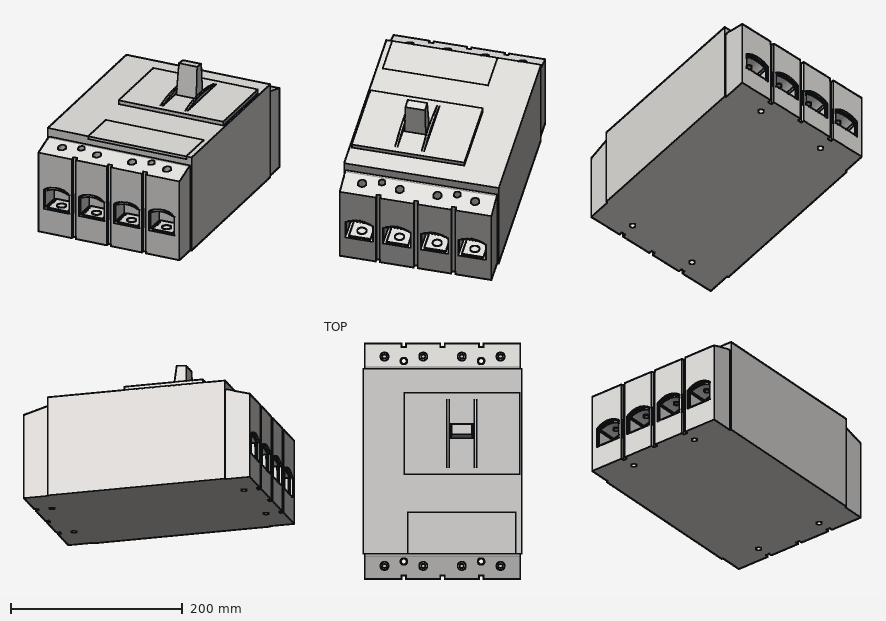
import cadquery as cq

total_length = 274.5
total_height = 164.5
housing_width = 185.0
housing_length = 215.5
housing_top = 120.5

end_width = 181.5
end_lip_y = 110.0
end_lip_top = 109.8
end_outer_top = 102.0
end_face_y = total_length / 2
block_face_y = housing_length / 2

pole_count = 4
pole_pitch = 45.0
groove_width = 5.0
groove_depth = 4.0
pole_xs = [(i - (pole_count - 1) / 2) * pole_pitch for i in range(pole_count)]
groove_xs = [(i - (pole_count - 2) / 2) * pole_pitch for i in range(pole_count - 1)]

mount_x = pole_pitch
mount_y = 116.5
mount_diameter = 6.5
mount_counterbore_diameter = 8.0
mount_counterbore_floor = 93.3

screw_y = 121.8
well_diameter = 9.5
well_floor = 82.3
socket_across_corners = 5.5
socket_depth = 2.7

pocket_width = 33.0
pocket_floor = 30.7
pocket_spring = 54.5
pocket_apex = 61.0
pocket_depth = end_face_y - block_face_y
lip_thickness = 2.7
relief_width = 39.5
relief_length = 2.5

contact_width = 25.8
contact_start_y = end_face_y - lip_thickness
contact_length = 2 * (contact_start_y - screw_y)
bar_thickness = 1.5
bar_recess_diameter = 11.0
bar_recess_depth = 0.5
bar_recess_y = 123.0
pad_apex = 59.5
pad_thickness = 2.7
pad_drop = 3.0
screw_diameter = 10.0
tip_diameter = 6.5
tip_bottom = 55.5

centre_x = 22.5
plate_width = 134.5
plate_length = 95.0
plate_y = 32.5
plate_thickness = 5.0
plate_top = housing_top + plate_thickness
rib_width = 3.0
rib_spacing = 31.8
rib_length = 78.5
rib_height = 5.2

trip_width = 126.0
trip_back_y = -59.5
trip_thickness = 3.5

handle_base_width = 25.5
handle_top_width = 23.3
handle_base_front_y = 26.5
handle_base_back_y = 44.0
handle_top_front_y = 31.5
handle_top_back_y = 43.0
handle_back_drop = 1.0


def box_between(x_range, y_range, z_range):
    """A block given by its limits along each axis."""
    size = [high - low for low, high in (x_range, y_range, z_range)]
    corner = cq.Vector(x_range[0], y_range[0], z_range[0])
    return cq.Workplane(cq.Solid.makeBox(*size, corner))


def vertical_cylinder(diameter, x, y, bottom, top):
    return cq.Workplane("XY", origin=(x, y, bottom)).circle(diameter / 2).extrude(top - bottom)


def arched_block(x, y_start, length, width, bottom, spring, apex):
    """A block from y_start toward -Y, with a flat floor, upright sides and an arched roof."""
    half = width / 2
    return (
        cq.Workplane("XZ", origin=(x, y_start, 0))
        .moveTo(-half, bottom)
        .lineTo(half, bottom)
        .lineTo(half, spring)
        .threePointArc((0, apex), (-half, spring))
        .close()
        .extrude(length)
    )


def end_block():
    """The terminal end at +Y, with a narrow flat lip and a sloping top."""
    return (
        cq.Workplane("YZ", origin=(-end_width / 2, 0, 0))
        .polyline(
            [
                (block_face_y, 0),
                (end_face_y, 0),
                (end_face_y, end_outer_top),
                (end_lip_y, end_lip_top),
                (block_face_y, end_lip_top),
            ]
        )
        .close()
        .extrude(end_width)
    )


def screw_well(x):
    well = vertical_cylinder(well_diameter, x, screw_y, well_floor, housing_top)
    socket = (
        cq.Workplane("XY", origin=(x, screw_y, well_floor))
        .transformed(rotate=(0, 0, 90))
        .polygon(6, socket_across_corners)
        .extrude(-socket_depth)
    )
    return well.union(socket)


def terminal_pocket(x):
    """The arched pocket, with a wider relief just behind its front lip."""
    pocket = arched_block(
        x, end_face_y, pocket_depth, pocket_width, pocket_floor, pocket_spring, pocket_apex
    )
    relief = arched_block(
        x, contact_start_y, relief_length, relief_width, pocket_floor, pocket_spring, pocket_apex
    )
    return pocket.union(relief)


def contact_bar(x):
    top = pocket_floor + bar_thickness
    bar = box_between(
        (x - contact_width / 2, x + contact_width / 2),
        (contact_start_y - contact_length, contact_start_y),
        (pocket_floor, top),
    )
    recess = vertical_cylinder(bar_recess_diameter, x, bar_recess_y, top - bar_recess_depth, top)
    return bar.cut(recess)


def clamp(x):
    """The curved pad, the screw that carries it and the screw tip below it."""
    half = contact_width / 2
    pad_bottom = pad_apex - pad_thickness
    pad = (
        cq.Workplane("XZ", origin=(x, contact_start_y, 0))
        .moveTo(-half, pad_bottom - pad_drop)
        .threePointArc((0, pad_bottom), (half, pad_bottom - pad_drop))
        .lineTo(half, pad_apex - pad_drop)
        .threePointArc((0, pad_apex), (-half, pad_apex - pad_drop))
        .close()
        .extrude(contact_length)
    )
    screw = vertical_cylinder(screw_diameter, x, screw_y, pad_apex - pad_thickness / 2, pocket_apex)
    tip = vertical_cylinder(tip_diameter, x, screw_y, tip_bottom, pad_apex - pad_thickness / 2)
    return pad.union(screw).union(tip)


def mounting_hole(x):
    hole = vertical_cylinder(mount_diameter, x, mount_y, 0, housing_top)
    counterbore = vertical_cylinder(
        mount_counterbore_diameter, x, mount_y, mount_counterbore_floor, housing_top
    )
    return hole.union(counterbore)


def terminal_end():
    """The complete terminal end at +Y."""
    end = end_block()
    for x in groove_xs:
        end = end.cut(
            box_between(
                (x - groove_width / 2, x + groove_width / 2),
                (end_face_y - groove_depth, end_face_y),
                (0, end_lip_top),
            )
        )
    for x in (-mount_x, mount_x):
        end = end.cut(mounting_hole(x))
    for x in pole_xs:
        end = end.cut(screw_well(x)).cut(terminal_pocket(x))
        end = end.union(contact_bar(x)).union(clamp(x))
    return end


def trip_unit():
    return box_between(
        (centre_x - trip_width / 2, centre_x + trip_width / 2),
        (-block_face_y, trip_back_y),
        (housing_top - trip_thickness, housing_top),
    )


def housing():
    """The main block with both terminal ends and the recess for the trip unit."""
    block = cq.Workplane("XY").box(
        housing_width, housing_length, housing_top, centered=(True, True, False)
    )
    for end in (terminal_end(), terminal_end().mirror("XZ")):
        block = block.union(end)
    return block.cut(trip_unit())


def cover_plate():
    plate = box_between(
        (centre_x - plate_width / 2, centre_x + plate_width / 2),
        (plate_y - plate_length / 2, plate_y + plate_length / 2),
        (housing_top, plate_top),
    )
    for side in (-1, 1):
        plate = plate.union(guide_rib(centre_x + side * rib_spacing / 2))
    return plate


def guide_rib(x):
    """A low rib along Y whose top is one shallow arc."""
    return (
        cq.Workplane("YZ", origin=(x - rib_width / 2, plate_y, plate_top))
        .moveTo(-rib_length / 2, 0)
        .lineTo(rib_length / 2, 0)
        .threePointArc((0, rib_height), (-rib_length / 2, 0))
        .close()
        .extrude(rib_width)
    )


def handle():
    """The lever: its side outline and its front outline, crossed."""
    side_outline = (
        cq.Workplane("YZ", origin=(centre_x - handle_base_width / 2, 0, 0))
        .polyline(
            [
                (handle_base_front_y, plate_top),
                (handle_base_back_y, plate_top),
                (handle_top_back_y, total_height - handle_back_drop),
                (handle_top_front_y, total_height),
            ]
        )
        .close()
        .extrude(handle_base_width)
    )
    front_outline = (
        cq.Workplane("XZ", origin=(centre_x, handle_base_back_y, 0))
        .polyline(
            [
                (-handle_base_width / 2, plate_top),
                (handle_base_width / 2, plate_top),
                (handle_top_width / 2, total_height),
                (-handle_top_width / 2, total_height),
            ]
        )
        .close()
        .extrude(handle_base_back_y - handle_base_front_y)
    )
    return side_outline.intersect(front_outline)


result = cq.Compound.makeCompound(
    [housing().val(), trip_unit().val(), cover_plate().val(), handle().val()]
)